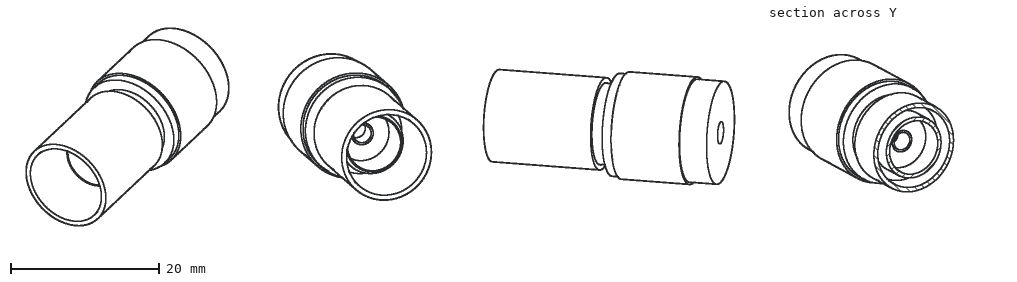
import cadquery as cq

total_length = 31.47
cable_end = -total_length / 2
mating_end = total_length / 2

grip_diameter = 14.57
grip_radius = grip_diameter / 2
shell_radius = 7.0
neck_radius = 5.5
grip_front = 11.95
grip_back = 2.42
shell_back = 1.1
neck_insertion = 1.9
post_radius = 4.3
post_tip_radius = 3.87
post_bore_radius = 3.7
post_length = 6.3
post_taper_length = 0.95

ferrule_radius = 6.25
ferrule_bore_radius = 5.57
ferrule_length = 15.0
ferrule_front = cable_end + ferrule_length

contact_radius = 1.5
cup_radius = 1.23
cup_depth = 3.15

neck_end = ferrule_front - neck_insertion
post_tip = neck_end - post_length
post_bore_floor = neck_end


def cylinder(radius, y_start, y_end):
    """Solid cylinder on the Y axis between two Y positions."""
    base = cq.Workplane("XZ", origin=(0, y_start, 0))
    return base.circle(radius).extrude(y_start - y_end)


def make_housing():
    """Revolve the stepped outside, then bore the post and the contact seat."""
    profile = [
        (0, mating_end),
        (shell_radius, mating_end),
        (shell_radius, grip_front),
        (grip_radius, grip_front),
        (grip_radius, grip_back),
        (shell_radius, grip_back),
        (shell_radius, shell_back),
        (neck_radius, shell_back),
        (neck_radius, neck_end),
        (post_radius, neck_end),
        (post_radius, post_tip + post_taper_length),
        (post_tip_radius, post_tip),
        (0, post_tip),
    ]
    outside = cq.Workplane("XY").polyline(profile).close().revolve(360, (0, 0, 0), (0, 1, 0))
    post_bore = cylinder(post_bore_radius, post_tip, post_bore_floor)
    contact_seat = cylinder(contact_radius, post_bore_floor, mating_end)
    return outside.cut(post_bore).cut(contact_seat)


def make_ferrule():
    """Open tube from the cable end to the exposed neck."""
    tube = cylinder(ferrule_radius, cable_end, ferrule_front)
    return tube.cut(cylinder(ferrule_bore_radius, cable_end, ferrule_front))


def make_contact():
    """Pin filling its seat in the housing, with a solder cup at its cable end."""
    pin = cylinder(contact_radius, post_bore_floor, mating_end)
    return pin.cut(cylinder(cup_radius, post_bore_floor, post_bore_floor + cup_depth))


housing = make_housing()
ferrule = make_ferrule()
contact = make_contact()

result = cq.Compound.makeCompound([housing.val(), ferrule.val(), contact.val()])